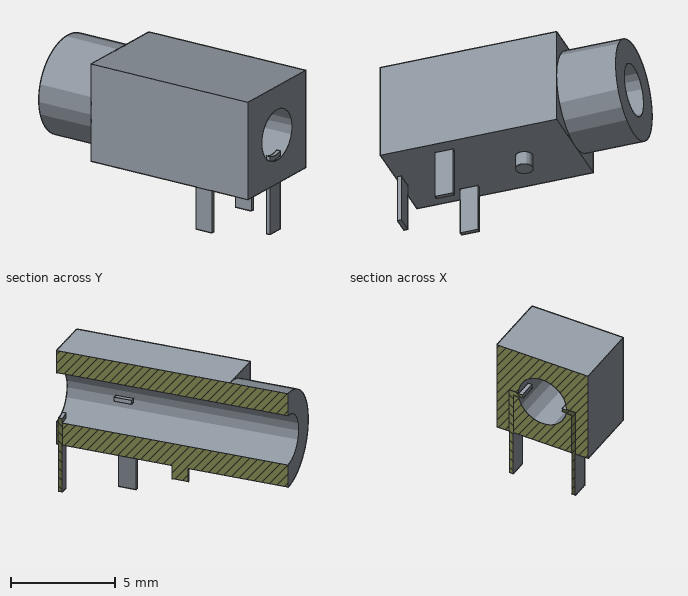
import cadquery as cq


total_length = 12.0
body_size = 5.0
barrel_length = 3.0
bore_diameter = 2.6

peg_diameter = 0.85
peg_height = 0.7
peg_x = 5.59

lead_length = 2.5
contact_thickness = 0.2
contact_tip_diameter = 2.16
side_contact_width = 0.91
side_contact_x = 9.01
side_contact_y = 1.7
rear_contact_width = 0.9
rear_contact_x = 11.8

body_bottom = -body_size / 2
lead_bottom = body_bottom - lead_length


def x_cylinder(diameter, length):
    """Cylinder on the socket axis, starting at the barrel mouth."""
    return cq.Workplane("YZ").circle(diameter / 2).extrude(length)


def make_shell():
    """Square body with a round barrel, a through bore and the locating peg."""
    body = (
        cq.Workplane("YZ")
        .workplane(offset=barrel_length)
        .rect(body_size, body_size)
        .extrude(total_length - barrel_length)
    )
    barrel = x_cylinder(body_size, barrel_length)
    peg = (
        cq.Workplane("XY")
        .workplane(offset=body_bottom)
        .center(peg_x, 0)
        .circle(peg_diameter / 2)
        .extrude(-peg_height)
    )
    return body.union(barrel).union(peg).cut(x_cylinder(bore_diameter, total_length))


def trim_tip(contact):
    """End a contact on the round tip circle inside the bore."""
    return contact.cut(x_cylinder(contact_tip_diameter, total_length))


def make_side_contact(side):
    """L-shaped strip: a vertical lead with a top arm reaching into the bore (side is +1 or -1)."""
    outer_y = side * (side_contact_y + contact_thickness / 2)
    inner_y = side * (side_contact_y - contact_thickness / 2)
    profile = [
        (outer_y, lead_bottom),
        (outer_y, 0),
        (0, 0),
        (0, -contact_thickness),
        (inner_y, -contact_thickness),
        (inner_y, lead_bottom),
    ]
    strip = (
        cq.Workplane("YZ")
        .workplane(offset=side_contact_x - side_contact_width / 2)
        .polyline(profile)
        .close()
        .extrude(side_contact_width)
    )
    return trim_tip(strip)


def make_rear_contact():
    """Straight vertical strip across the rear end of the bore."""
    strip = (
        cq.Workplane("XY")
        .workplane(offset=lead_bottom)
        .center(rear_contact_x, 0)
        .rect(contact_thickness, rear_contact_width)
        .extrude(-lead_bottom)
    )
    return trim_tip(strip)


def make_housing(contacts):
    """Shell with a matching slot for every contact."""
    housing = make_shell()
    for contact in contacts:
        housing = housing.cut(contact)
    return housing


side_contacts = [make_side_contact(side) for side in (-1, 1)]
rear_contact = make_rear_contact()
housing = make_housing([*side_contacts, rear_contact])

bodies = [housing, rear_contact, *side_contacts]
result = cq.Compound.makeCompound([body.solids().val() for body in bodies])